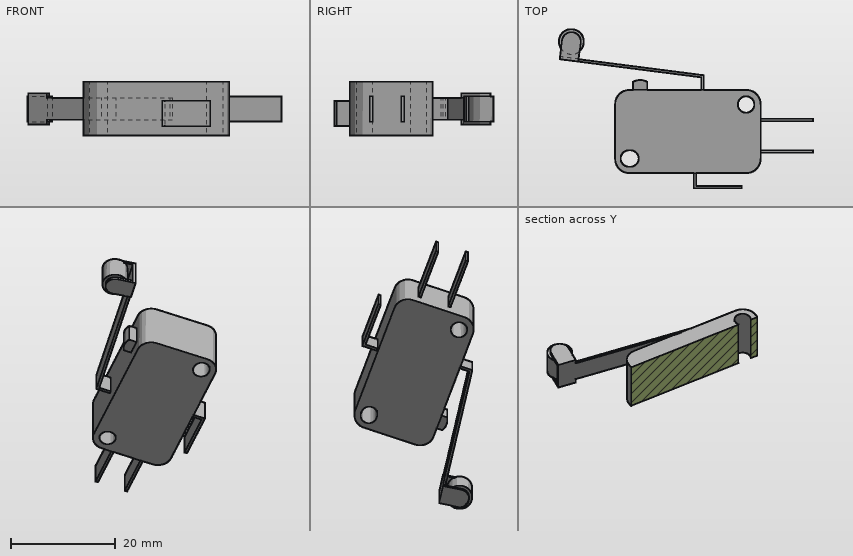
import cadquery as cq
import math


housing_length = 27.8
housing_width = 15.9
housing_height = 10.3
housing_middle_z = 0.05
corner_radius = 2.75

hole_diameter = 3.1
hole_inset = 2.8
slot_overall_length = 3.4

sheet_thickness = 0.5
terminal_width = 4.8
side_terminal_reach = 10.0
side_terminal_positions = (4.15, 10.15)
bent_terminal_start = 15.0
bent_terminal_length = 9.2
bent_terminal_drop = 2.9
bent_terminal_offset_z = -0.85

plunger_start = 3.4
plunger_length = 2.8
plunger_height = 1.9
plunger_shoulder_height = 1.5

roller_diameter = 4.8
roller_width = 4.8
roller_center_x = -8.32
roller_center_y = 25.1

lever_width = 4.2
lever_angle = 7.3
lever_leg_end = 16.95
lever_bend_height = 18.7
bracket_thickness = 0.6
cheek_radius = 1.8

tilt = math.radians(lever_angle)
roller_from_bend_x = roller_center_x - lever_leg_end
roller_from_bend_y = roller_center_y - lever_bend_height
roller_along = roller_from_bend_x * math.cos(tilt) - roller_from_bend_y * math.sin(tilt)
roller_above = roller_from_bend_x * math.sin(tilt) + roller_from_bend_y * math.cos(tilt)


def sketch_plane(height):
    """XY workplane from which an extrusion of the given height is centred on Z = 0."""
    return cq.Workplane("XY").workplane(offset=-height / 2)


def block(x_range, y_range, height, middle_z=0):
    """Box spanning the given X and Y ranges, centred on middle_z."""
    x_size = x_range[1] - x_range[0]
    y_size = y_range[1] - y_range[0]
    middle = (sum(x_range) / 2, sum(y_range) / 2, middle_z)
    return cq.Workplane("XY").box(x_size, y_size, height).translate(middle)


def make_housing():
    housing = block((0, housing_length), (0, housing_width), housing_height)
    housing = housing.edges("|Z").fillet(corner_radius)
    round_hole = (
        sketch_plane(housing_height)
        .center(housing_length - hole_inset, housing_width - hole_inset)
        .circle(hole_diameter / 2)
        .extrude(housing_height)
    )
    slotted_hole = (
        sketch_plane(housing_height)
        .center(hole_inset, hole_inset)
        .slot2D(slot_overall_length, hole_diameter)
        .extrude(housing_height)
    )
    housing = housing.cut(round_hole).cut(slotted_hole)
    return housing.translate((0, 0, housing_middle_z))


def make_side_terminal(middle_y):
    return block(
        (housing_length, housing_length + side_terminal_reach),
        (middle_y - sheet_thickness / 2, middle_y + sheet_thickness / 2),
        terminal_width,
    )


def make_bent_terminal():
    leg = block(
        (bent_terminal_start, bent_terminal_start + sheet_thickness),
        (-bent_terminal_drop, 0),
        terminal_width,
        bent_terminal_offset_z,
    )
    blade = block(
        (bent_terminal_start, bent_terminal_start + bent_terminal_length),
        (-bent_terminal_drop, sheet_thickness - bent_terminal_drop),
        terminal_width,
        bent_terminal_offset_z,
    )
    return leg.union(blade)


def make_plunger():
    shoulder_y = housing_width + plunger_shoulder_height
    crown = (plunger_start + plunger_length / 2, housing_width + plunger_height)
    return (
        sketch_plane(lever_width)
        .moveTo(plunger_start, housing_width)
        .lineTo(plunger_start + plunger_length, housing_width)
        .lineTo(plunger_start + plunger_length, shoulder_y)
        .threePointArc(crown, (plunger_start, shoulder_y))
        .close()
        .extrude(lever_width)
    )


def make_lever_strip():
    """Upright leg out of the housing and the tilted arm bent from its top."""
    leg_start = lever_leg_end - sheet_thickness
    tip_along = roller_along - cheek_radius
    tip_x = lever_leg_end + tip_along * math.cos(tilt)
    tip_y = lever_bend_height - tip_along * math.sin(tilt)
    shift_x = sheet_thickness * math.sin(tilt)
    shift_y = sheet_thickness * math.cos(tilt)
    inner_bend_y = lever_bend_height + sheet_thickness * math.tan(tilt) - sheet_thickness / math.cos(tilt)
    return (
        sketch_plane(lever_width)
        .moveTo(lever_leg_end, housing_width)
        .lineTo(lever_leg_end, lever_bend_height)
        .lineTo(tip_x, tip_y)
        .lineTo(tip_x - shift_x, tip_y - shift_y)
        .lineTo(leg_start, inner_bend_y)
        .lineTo(leg_start, housing_width)
        .close()
        .extrude(lever_width)
    )


def make_roller_bracket():
    """U-shaped end of the arm: a floor and two round-ended cheeks beside the roller."""
    left = roller_along - cheek_radius
    right = roller_along + cheek_radius
    outer_width = roller_width + 2 * bracket_thickness
    bracket = (
        sketch_plane(outer_width)
        .moveTo(left, -sheet_thickness)
        .lineTo(right, -sheet_thickness)
        .lineTo(right, roller_above)
        .threePointArc((roller_along, roller_above + cheek_radius), (left, roller_above))
        .close()
        .extrude(outer_width)
    )
    floor_top = bracket_thickness - sheet_thickness
    roller_gap = block((left, right), (floor_top, roller_above + cheek_radius), roller_width)
    bracket = bracket.cut(roller_gap)
    bracket = bracket.rotate((0, 0, 0), (0, 0, 1), -lever_angle)
    return bracket.translate((lever_leg_end, lever_bend_height, 0))


def make_switch():
    switch = make_housing().union(make_bent_terminal()).union(make_plunger())
    for middle_y in side_terminal_positions:
        switch = switch.union(make_side_terminal(middle_y))
    return switch.union(make_lever_strip()).union(make_roller_bracket())


def make_roller():
    return (
        sketch_plane(roller_width)
        .center(roller_center_x, roller_center_y)
        .circle(roller_diameter / 2)
        .extrude(roller_width)
    )


switch = make_switch()
roller = make_roller()

result = cq.Compound.makeCompound([switch.val(), roller.val()])